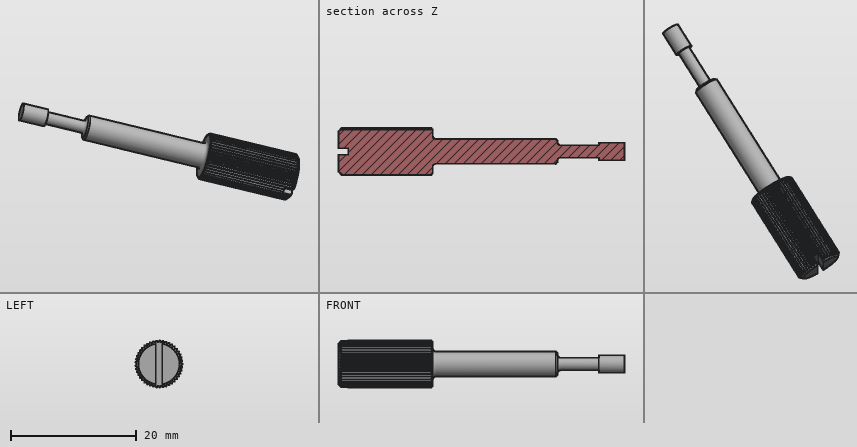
import cadquery as cq
import math

TOTAL_LENGTH = 45.45
HEAD_LENGTH = 15.0
SHANK_LENGTH = 19.82
TIP_LENGTH = 4.1

HEAD_DIAMETER = 7.5
SHANK_RADIUS = 2.0
NECK_RADIUS = 1.0
TIP_RADIUS = 1.4

HEAD_FRONT_CHAMFER = 0.5
HEAD_BACK_CHAMFER = 0.27
SHANK_CHAMFER = 0.27
ROOT_FILLET = 0.5

TOOTH_COUNT = 45
TOOTH_DEPTH = 0.25
CREST_WIDTH = 0.035

SLOT_WIDTH = 1.0
SLOT_DEPTH = 1.55

head_radius = HEAD_DIAMETER / 2
shank_end = HEAD_LENGTH + SHANK_LENGTH
tip_start = TOTAL_LENGTH - TIP_LENGTH


def concave_corner(profile, x, radius):
    """Go down a shoulder at x and blend into a smaller cylinder with a tangent arc."""
    sag = ROOT_FILLET * (1 - math.sqrt(0.5))
    return (
        profile.lineTo(x, radius + ROOT_FILLET)
        .threePointArc((x + sag, radius + sag), (x + ROOT_FILLET, radius))
    )


def turned_body():
    """Head, shank, neck and tip revolved about the X axis."""
    profile = (
        cq.Workplane("XY")
        .lineTo(0, head_radius - HEAD_FRONT_CHAMFER)
        .lineTo(HEAD_FRONT_CHAMFER, head_radius)
        .lineTo(HEAD_LENGTH - HEAD_BACK_CHAMFER, head_radius)
        .lineTo(HEAD_LENGTH, head_radius - HEAD_BACK_CHAMFER)
    )
    profile = concave_corner(profile, HEAD_LENGTH, SHANK_RADIUS)
    profile = (
        profile.lineTo(shank_end - SHANK_CHAMFER, SHANK_RADIUS)
        .lineTo(shank_end, SHANK_RADIUS - SHANK_CHAMFER)
    )
    profile = concave_corner(profile, shank_end, NECK_RADIUS)
    profile = (
        profile.lineTo(tip_start, NECK_RADIUS)
        .lineTo(tip_start, TIP_RADIUS)
        .lineTo(TOTAL_LENGTH, TIP_RADIUS)
        .lineTo(TOTAL_LENGTH, 0)
        .close()
    )
    return profile.revolve(360, (0, 0, 0), (1, 0, 0))


def polar_point(radius, angle):
    """Point of a cross-section, with the angle measured from +Y towards +Z."""
    return radius * math.cos(angle), radius * math.sin(angle)


def knurl_envelope():
    """Toothed prism along the whole length; only the head is wide enough to meet its teeth."""
    pitch_angle = 2 * math.pi / TOOTH_COUNT
    half_crest_angle = CREST_WIDTH / (2 * head_radius)
    root_radius = head_radius - TOOTH_DEPTH
    outline = []
    for tooth in range(TOOTH_COUNT):
        crest_angle = math.pi + tooth * pitch_angle
        outline.append(polar_point(head_radius, crest_angle - half_crest_angle))
        outline.append(polar_point(head_radius, crest_angle + half_crest_angle))
        outline.append(polar_point(root_radius, crest_angle + pitch_angle / 2))
    return cq.Workplane("YZ").polyline(outline).close().extrude(TOTAL_LENGTH)


def screwdriver_slot():
    """Cutter crossing the whole head face along Z."""
    return cq.Workplane("XY").box(2 * SLOT_DEPTH, SLOT_WIDTH, 2 * head_radius)


result = turned_body().intersect(knurl_envelope()).cut(screwdriver_slot())